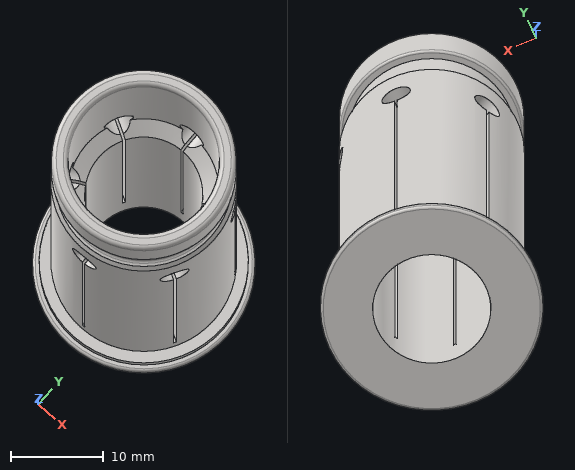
import math

import cadquery as cq

height = 52.5
rim_top = 1.05
flange_top = 2.1
shoulder_z = 42.5
head_bottom = 47.35

rim_diameter = 24.0
flange_diameter = 22.5
body_diameter = 20.0
neck_diameter = 18.0
head_diameter = 19.9

upper_bore_diameter = 16.3
lower_bore_diameter = 12.7
seat_top = 36.0
seat_slope = math.radians(30)
seat_height = (upper_bore_diameter - lower_bore_diameter) / 2 * math.tan(seat_slope)

rim_fillet = 0.3
head_fillet = 0.5
head_lower_fillet = 0.25
shoulder_chamfer = 0.4

shoulder_slope = math.radians(20)
neck_fillet = 0.4

slit_count = 6
relief_hole_diameter = 3.3
relief_hole_z = 37.0
slit_bottom = 4.0
slit_width = 0.3


def revolve_outline(outline):
    """Turn a closed outline of radius and height around the Z axis."""
    return outline.close().revolve(360, (0, 0, 0), (0, 1, 0))


def outer_body():
    rim = rim_diameter / 2
    flange = flange_diameter / 2
    body = body_diameter / 2
    neck = neck_diameter / 2
    head = head_diameter / 2
    shoulder = body - shoulder_chamfer
    blend_foot = neck + neck_fillet * (1 - math.sin(shoulder_slope))
    blend_foot_z = shoulder_z + (shoulder - blend_foot) * math.tan(shoulder_slope)
    blend_top_z = blend_foot_z + neck_fillet * math.cos(shoulder_slope)
    outline = (
        cq.Workplane("XZ")
        .lineTo(rim - rim_fillet, 0)
        .radiusArc((rim, rim_fillet), -rim_fillet)
        .lineTo(rim, rim_top - rim_fillet)
        .radiusArc((rim - rim_fillet, rim_top), -rim_fillet)
        .lineTo(flange, rim_top)
        .lineTo(flange, flange_top)
        .lineTo(body, flange_top)
        .lineTo(body, shoulder_z - shoulder_chamfer)
        .lineTo(shoulder, shoulder_z)
        .lineTo(blend_foot, blend_foot_z)
        .radiusArc((neck, blend_top_z), neck_fillet)
        .lineTo(neck, head_bottom)
        .lineTo(head - head_lower_fillet, head_bottom)
        .radiusArc((head, head_bottom + head_lower_fillet), -head_lower_fillet)
        .lineTo(head, height - head_fillet)
        .radiusArc((head - head_fillet, height), -head_fillet)
        .lineTo(0, height)
    )
    return revolve_outline(outline)


def bore():
    upper = upper_bore_diameter / 2
    lower = lower_bore_diameter / 2
    outline = (
        cq.Workplane("XZ")
        .lineTo(lower, 0)
        .lineTo(lower, seat_top - seat_height)
        .lineTo(upper, seat_top)
        .lineTo(upper, height - head_fillet)
        .radiusArc((upper + head_fillet, height), head_fillet)
        .lineTo(0, height)
    )
    return revolve_outline(outline)


def relief_hole_and_slit():
    """Radial cutter pointing along -Y from the axis."""
    reach = rim_diameter / 2
    hole = (
        cq.Workplane("XZ")
        .center(0, relief_hole_z)
        .circle(relief_hole_diameter / 2)
        .extrude(reach)
    )
    slit = (
        cq.Workplane("XY", origin=(0, 0, slit_bottom))
        .box(slit_width, reach, relief_hole_z - slit_bottom, centered=(True, False, False))
        .translate((0, -reach, 0))
    )
    return hole.union(slit)


result = outer_body().cut(bore())
cutter = relief_hole_and_slit()
for index in range(slit_count):
    result = result.cut(cutter.rotate((0, 0, 0), (0, 0, 1), index * 360 / slit_count))